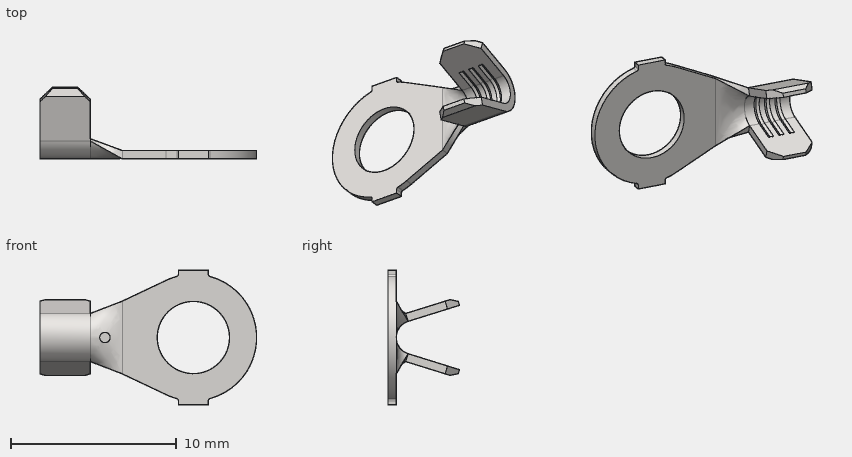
import cadquery as cq
import math

thickness = 0.508

ring_radius = 3.82
stud_hole_radius = 2.17
tab_width = 1.81
tab_span = 8.13
tab_root_fillet = 0.13

overall_length = 13.07
barrel_start = ring_radius - overall_length
barrel_length = 3.04
barrel_end = barrel_start + barrel_length
neck_length = 1.93
neck_half_width = 2.2
neck_end = barrel_end + neck_length

corner_distance = math.hypot(neck_end, neck_half_width)
tangent_angle = math.atan2(neck_half_width, neck_end) - math.acos(ring_radius / corner_distance)
tangent_x = ring_radius * math.cos(tangent_angle)
tangent_z = ring_radius * math.sin(tangent_angle)

barrel_height = 4.32
bend_radius = 1.524
inner_bend_radius = bend_radius - thickness
wing_angle = math.radians(17.3)
corner_chamfer = 0.76
tip_bevel_length = 0.44
tip_bevel_depth = 0.25

serration_count = 3
serration_pitch = 0.70
serration_width = 0.34
serration_depth = 0.12
serration_reach = 1.31

pad_radius = 0.315
pad_offset = 0.88


def wing_point(radius, distance):
    """Point (y, z) on the upper wing surface, a distance past the bend of that radius."""
    y = bend_radius - radius * math.sin(wing_angle) + distance * math.cos(wing_angle)
    z = radius * math.cos(wing_angle) + distance * math.sin(wing_angle)
    return y, z


def mirrored(point):
    return point[0], -point[1]


wing_length = (barrel_height - wing_point(inner_bend_radius, 0)[0]) / math.cos(wing_angle)


def make_tongue():
    """Ring with two locating tabs, and the tapered web that runs tangent into it."""
    ring = cq.Workplane("XZ").circle(ring_radius).extrude(-thickness)
    tabs = cq.Workplane("XZ").rect(tab_width, tab_span).extrude(-thickness)
    tongue = ring.union(tabs)
    corner_x = tab_width / 2
    corner_z = math.sqrt(ring_radius**2 - corner_x**2)
    for x in (-corner_x, corner_x):
        for z in (-corner_z, corner_z):
            root = cq.selectors.NearestToPointSelector((x, thickness / 2, z))
            tongue = tongue.edges(root).fillet(tab_root_fillet)
    web = (
        cq.Workplane("XZ")
        .moveTo(neck_end, -neck_half_width)
        .lineTo(tangent_x, -tangent_z)
        .lineTo(tangent_x, tangent_z)
        .lineTo(neck_end, neck_half_width)
        .close()
        .extrude(-thickness)
    )
    hole = cq.Workplane("XZ").circle(stud_hole_radius).extrude(-thickness)
    return tongue.union(web).cut(hole)


def make_corner_cutter(x, inward, side):
    """Triangular prism, square to the upper (1) or lower (-1) wing, that removes one tip corner."""
    tip_y, tip_z = wing_point(inner_bend_radius, wing_length)
    wing_normal = (0, -math.sin(wing_angle), side * math.cos(wing_angle))
    wing_plane = cq.Plane(origin=(x, tip_y, side * tip_z), xDir=(1, 0, 0), normal=wing_normal)
    toward_bend = -side * corner_chamfer
    return (
        cq.Workplane(wing_plane)
        .lineTo(inward, 0)
        .lineTo(0, toward_bend)
        .close()
        .extrude(thickness)
    )


def make_barrel():
    """U-shaped barrel with bevelled wing tips and chamfered wing corners."""
    bevel_start = wing_point(bend_radius, wing_length - tip_bevel_length)
    bevel_end = wing_point(bend_radius - tip_bevel_depth, wing_length)
    inner_tip = wing_point(inner_bend_radius, wing_length)
    outer_bend = wing_point(bend_radius, 0)
    inner_bend = wing_point(inner_bend_radius, 0)
    barrel = (
        cq.Workplane("YZ", origin=(barrel_start, 0, 0))
        .moveTo(*outer_bend)
        .lineTo(*bevel_start)
        .lineTo(*bevel_end)
        .lineTo(*inner_tip)
        .lineTo(*inner_bend)
        .threePointArc((thickness, 0), mirrored(inner_bend))
        .lineTo(*mirrored(inner_tip))
        .lineTo(*mirrored(bevel_end))
        .lineTo(*mirrored(bevel_start))
        .lineTo(*mirrored(outer_bend))
        .threePointArc((0, 0), outer_bend)
        .close()
        .extrude(barrel_length)
    )
    for side in (1, -1):
        for x, inward in ((barrel_start, corner_chamfer), (barrel_end, -corner_chamfer)):
            barrel = barrel.cut(make_corner_cutter(x, inward, side))
    return barrel


def make_serration(center_x):
    """V-shaped groove cutter that follows the inside of the barrel from wing to wing."""
    end_y, end_z = wing_point(inner_bend_radius, serration_reach)
    inner_bend = wing_point(inner_bend_radius, 0)
    path = (
        cq.Workplane("YZ", origin=(center_x, 0, 0))
        .moveTo(end_y, end_z)
        .lineTo(*inner_bend)
        .threePointArc((thickness, 0), mirrored(inner_bend))
        .lineTo(end_y, -end_z)
    )
    along_wing = (0, math.cos(wing_angle), math.sin(wing_angle))
    start = cq.Plane(origin=(center_x, end_y, end_z), xDir=(1, 0, 0), normal=along_wing)
    profile = (
        cq.Workplane(start)
        .moveTo(-serration_width / 2, 0)
        .lineTo(serration_width / 2, 0)
        .lineTo(0, -serration_depth)
        .close()
    )
    return profile.sweep(path)


def make_neck():
    """Straight-ruled transition from the bend of the barrel to the flat web, with its pad."""
    outer_bend = wing_point(bend_radius, 0)
    inner_bend = wing_point(inner_bend_radius, 0)
    neck = (
        cq.Workplane("YZ", origin=(barrel_end, 0, 0))
        .moveTo(*outer_bend)
        .lineTo(*inner_bend)
        .threePointArc((thickness, 0), mirrored(inner_bend))
        .lineTo(*mirrored(outer_bend))
        .threePointArc((0, 0), outer_bend)
        .close()
        .workplane(offset=neck_length)
        .moveTo(0, neck_half_width)
        .lineTo(thickness, neck_half_width)
        .lineTo(thickness, -neck_half_width)
        .lineTo(0, -neck_half_width)
        .close()
        .loft(ruled=True)
    )
    pad = (
        cq.Workplane("XZ")
        .center(barrel_end + pad_offset, 0)
        .circle(pad_radius)
        .extrude(-thickness / 2)
    )
    return neck.union(pad)


barrel = make_barrel()
barrel_middle = (barrel_start + barrel_end) / 2
for index in range(serration_count):
    offset = (index - (serration_count - 1) / 2) * serration_pitch
    barrel = barrel.cut(make_serration(barrel_middle + offset))

result = make_tongue().union(make_neck()).union(barrel)